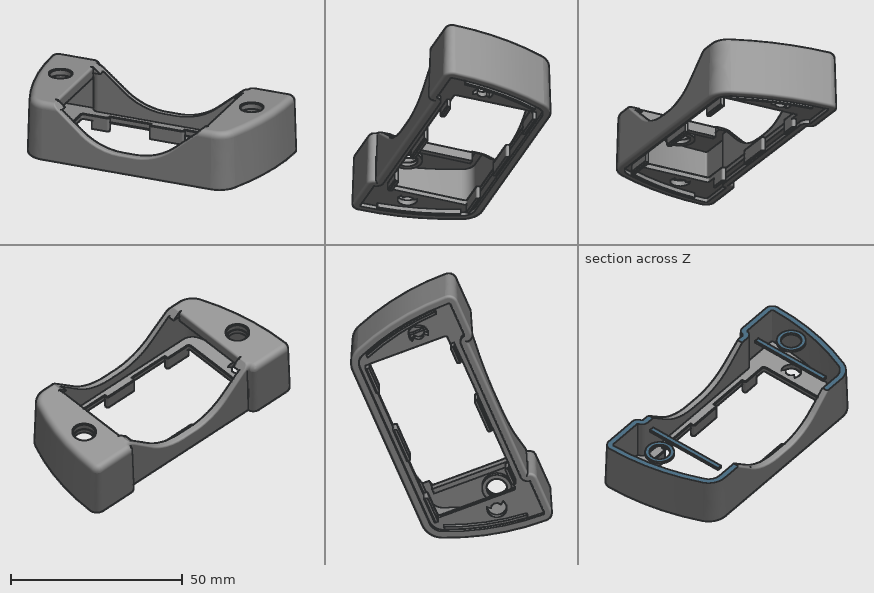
import cadquery as cq
import math

LENGTH = 78.0
DEPTH = 36.8
BODY_HEIGHT = 18.1
RIM_HEIGHT = 0.9
DRAFT_ANGLE = 1.7
END_RADIUS = 76.45
FRONT_CORNER_RADIUS = 6.55
REAR_CORNER_RADIUS = 2.8
GAP_CORNER_RADIUS = 2.35
REAR_STEP = 2.0
REAR_STEP_HALF = 22.85
TOP_FILLET = 1.95
BASE_FILLET = 0.8

WALL = 2.35
FLOOR_TOP = 3.0
FLOOR_THICKNESS = 1.7
PLATE_THICKNESS = 1.95

SADDLE_BOTTOM = 6.0
SADDLE_FLAT_HALF = 1.9
SADDLE_RADIUS = 19.9
SADDLE_ANGLE = 40.0
SADDLE_FILLET = 0.55

OPENING_CENTER_Y = -1.1
OPENING_HALF_X = 26.7
OPENING_HALF_Y = 12.2
OPENING_RADIUS = 0.6
OPENING_CHAMFER = 0.2
LIP_X = 23.4
LIP_HALF_Y = 12.8
LIP_HEIGHT = 3.35
LIP_THICKNESS = 1.55
LIP_FILLET = 0.8

TAB_THICKNESS = 1.2
TAB_DROP = 1.4
TAB_CHAMFER = 0.4
MIDDLE_TAB_HALF = 5.45
END_TAB_INNER = 18.25
REAR_TAB_OUTER = 23.9
FRONT_TAB_OUTER = OPENING_HALF_X

HOLE_X = 30.3
HOLE_Y = 3.7
PLATE_HOLE_RADIUS = 3.2
PLATE_HOLE_CHAMFER = 0.3
BOSS_RADIUS = 4.3
BOSS_BORE_RADIUS = 3.0
BOSS_HEIGHT = 1.3
FLOOR_HOLE_RADIUS = 2.9
FLAT_ANGLE = 61.0
KEY_RADIUS = 1.6
KEY_ANGLE = 69.0

RIB_INSET = 3.1
RIB_THICKNESS = 0.8
RIB_DROP = 0.2
RIB_REAR = 11.15
RIB_FRONT = -12.6

REAR = DEPTH / 2
FRONT = -DEPTH / 2
FLOOR_BOTTOM = FLOOR_TOP - FLOOR_THICKNESS
END_ARC_Y = REAR - REAR_CORNER_RADIUS
END_ARC_X = LENGTH / 2 - END_RADIUS


def box(x_range, y_range, z_range):
    """Box spanning the given ranges."""
    lows, highs = zip(x_range, y_range, z_range)
    sizes = [high - low for low, high in zip(lows, highs)]
    return cq.Workplane("XY").box(*sizes, centered=False).translate(lows)


def plan_solid(height):
    """Upright block with the plan outline of the rim."""

    def end_x(y):
        return END_ARC_X + math.sqrt(END_RADIUS**2 - (y - END_ARC_Y) ** 2)

    front_x = end_x(FRONT)
    middle_y = (END_ARC_Y + FRONT) / 2
    wall_y = REAR - REAR_STEP
    outer_x = LENGTH / 2 - REAR_CORNER_RADIUS
    inner_x = REAR_STEP_HALF + GAP_CORNER_RADIUS
    gap_arc_y = REAR - GAP_CORNER_RADIUS
    gap_x = inner_x - math.sqrt(GAP_CORNER_RADIUS**2 - (wall_y - gap_arc_y) ** 2)
    diagonal = math.sqrt(0.5)
    outer_slant = REAR_CORNER_RADIUS * diagonal
    inner_slant = GAP_CORNER_RADIUS * diagonal
    outer_y = END_ARC_Y + outer_slant
    inner_y = gap_arc_y + inner_slant
    outline = (
        cq.Workplane("XY")
        .moveTo(-front_x, FRONT)
        .lineTo(front_x, FRONT)
        .threePointArc((end_x(middle_y), middle_y), (LENGTH / 2, END_ARC_Y))
        .threePointArc((outer_x + outer_slant, outer_y), (outer_x, REAR))
        .lineTo(inner_x, REAR)
        .threePointArc((inner_x - inner_slant, inner_y), (gap_x, wall_y))
        .lineTo(-gap_x, wall_y)
        .threePointArc((inner_slant - inner_x, inner_y), (-inner_x, REAR))
        .lineTo(-outer_x, REAR)
        .threePointArc((-outer_x - outer_slant, outer_y), (-LENGTH / 2, END_ARC_Y))
        .threePointArc((-end_x(middle_y), middle_y), (-front_x, FRONT))
        .close()
    )
    return outline.extrude(height).edges("|Z and <Y").fillet(FRONT_CORNER_RADIUS)


def make_shell():
    """Drafted outer form with its rounded top and base edges."""
    rim = plan_solid(RIM_HEIGHT)
    drafted = rim.faces(">Z").wires().toPending().workplane()
    body = drafted.extrude(BODY_HEIGHT - RIM_HEIGHT, taper=DRAFT_ANGLE)
    body = body.faces("<Z").edges().fillet(BASE_FILLET)
    return body.faces(">Z").edges().fillet(TOP_FILLET)


def inner_block(z_low, z_high):
    """Block between two heights, one wall thickness inside the rim."""
    outline = plan_solid(RIM_HEIGHT).faces("<Z").wires().toPending().offset2D(-WALL)
    block = outline.extrude(z_high - z_low, combine=False)
    return block.translate((0, 0, z_low - block.val().BoundingBox().zmin))


def make_saddle():
    """Valley cut through both side walls: flat bottom, two arcs, straight flanks."""
    angle = math.radians(SADDLE_ANGLE)

    def arc_point(turn):
        x = SADDLE_FLAT_HALF + SADDLE_RADIUS * math.sin(turn)
        z = SADDLE_BOTTOM + SADDLE_RADIUS * (1 - math.cos(turn))
        return x, z

    middle_x, middle_z = arc_point(angle / 2)
    flank_x, flank_z = arc_point(angle)
    top_z = 2 * BODY_HEIGHT
    top_x = flank_x + (top_z - flank_z) / math.tan(angle)
    profile = (
        cq.Workplane("XZ")
        .moveTo(-SADDLE_FLAT_HALF, SADDLE_BOTTOM)
        .lineTo(SADDLE_FLAT_HALF, SADDLE_BOTTOM)
        .threePointArc((middle_x, middle_z), (flank_x, flank_z))
        .lineTo(top_x, top_z)
        .lineTo(-top_x, top_z)
        .lineTo(-flank_x, flank_z)
        .threePointArc((-middle_x, middle_z), (-SADDLE_FLAT_HALF, SADDLE_BOTTOM))
        .close()
    )
    return profile.extrude(DEPTH, both=True)


def y_band(half):
    """Y range centred on the opening."""
    return OPENING_CENTER_Y - half, OPENING_CENTER_Y + half


def floor_opening():
    """Opening through the floor, wider between the tabs, with rounded corners."""
    heights = (FLOOR_BOTTOM, FLOOR_TOP)
    opening = box((-OPENING_HALF_X, OPENING_HALF_X), y_band(OPENING_HALF_Y), heights)
    wide_band = y_band(OPENING_HALF_Y + TAB_THICKNESS)
    for gap in ((-END_TAB_INNER, -MIDDLE_TAB_HALF), (MIDDLE_TAB_HALF, END_TAB_INNER)):
        opening = opening.union(box(gap, wide_band, heights))
    near, far = y_band(OPENING_HALF_Y + TAB_THICKNESS / 2)
    corners = opening.edges("|Z").filter(lambda edge: near < edge.Center().y < far)
    return opening.newObject(corners.vals()).fillet(OPENING_RADIUS)


def soften_opening(body):
    """Chamfer along the upper edge of the floor opening."""
    reach_x = OPENING_HALF_X + OPENING_CHAMFER
    reach_y = OPENING_HALF_Y + TAB_THICKNESS + OPENING_CHAMFER
    low = (-reach_x, OPENING_CENTER_Y - reach_y, FLOOR_TOP - OPENING_CHAMFER)
    high = (reach_x, OPENING_CENTER_Y + reach_y, FLOOR_TOP + OPENING_CHAMFER)
    rim = cq.selectors.BoxSelector(low, high, boundingbox=True)
    return body.edges(rim).chamfer(OPENING_CHAMFER)


def plate_trim():
    """Space between the pods that clears the plate edges for their lips."""
    half = LIP_X + LIP_THICKNESS
    return box((-half, half), y_band(LIP_HALF_Y), (BODY_HEIGHT - LIP_HEIGHT, BODY_HEIGHT))


def plate_lip():
    """Left lip: hangs below the plate edge and is rounded at the top."""
    x_range = (-LIP_X - LIP_THICKNESS, -LIP_X)
    lip = box(x_range, y_band(LIP_HALF_Y), (BODY_HEIGHT - LIP_HEIGHT, BODY_HEIGHT))
    return lip.edges(">Z and >X").fillet(LIP_FILLET)


def make_tab(span, side):
    """Tab on the rear (side 1) or front (side -1) edge of the opening."""
    near = OPENING_CENTER_Y + side * OPENING_HALF_Y
    far = near + side * TAB_THICKNESS
    inner_edges, outer_edge = ("<Y", ">Y") if side > 0 else (">Y", "<Y")
    tab = box(span, sorted((near, far)), (-TAB_DROP, FLOOR_TOP))
    corners = tab.edges("|Z").edges(inner_edges)
    corners = corners.filter(lambda edge: abs(edge.Center().x) < OPENING_HALF_X - OPENING_RADIUS)
    tab = tab.newObject(corners.vals()).fillet(OPENING_RADIUS)
    return tab.faces("<Z").edges(outer_edge).chamfer(TAB_CHAMFER)


def add_tabs(body):
    """Three tabs along each long edge of the opening."""
    for side, outer in ((1, REAR_TAB_OUTER), (-1, FRONT_TAB_OUTER)):
        for span in (
            (-outer, -END_TAB_INNER),
            (-MIDDLE_TAB_HALF, MIDDLE_TAB_HALF),
            (END_TAB_INNER, outer),
        ):
            body = body.union(make_tab(span, side))
    return body


def polar(radius, degrees):
    """Point at a distance and direction from the origin."""
    turn = math.radians(degrees)
    return radius * math.cos(turn), radius * math.sin(turn)


def floor_hole():
    """Left keyhole: a round hole flattened towards the middle, with a small round bulge."""
    upper = polar(FLOOR_HOLE_RADIUS, FLAT_ANGLE)
    key_upper = polar(KEY_RADIUS, KEY_ANGLE)
    profile = (
        cq.Workplane("XY")
        .moveTo(*upper)
        .threePointArc((-FLOOR_HOLE_RADIUS, 0), (upper[0], -upper[1]))
        .lineTo(key_upper[0], -key_upper[1])
        .threePointArc((KEY_RADIUS, 0), key_upper)
        .close()
    )
    return profile.extrude(FLOOR_THICKNESS).translate((-HOLE_X, HOLE_Y, FLOOR_BOTTOM))


def plate_hole():
    """Left round hole through the top plate, with a chamfered mouth."""
    base = BODY_HEIGHT - PLATE_THICKNESS
    hole = cq.Workplane("XY").circle(PLATE_HOLE_RADIUS).extrude(PLATE_THICKNESS)
    mouth = (
        cq.Workplane("XY")
        .workplane(offset=PLATE_THICKNESS - PLATE_HOLE_CHAMFER)
        .circle(PLATE_HOLE_RADIUS)
        .workplane(offset=PLATE_HOLE_CHAMFER)
        .circle(PLATE_HOLE_RADIUS + PLATE_HOLE_CHAMFER)
        .loft()
    )
    return hole.union(mouth).translate((-HOLE_X, HOLE_Y, base))


def hole_boss():
    """Left ring below the top plate, with a bore slightly tighter than the plate hole."""
    ring = cq.Workplane("XY").circle(BOSS_RADIUS).circle(BOSS_BORE_RADIUS).extrude(BOSS_HEIGHT)
    return ring.translate((-HOLE_X, HOLE_Y, BODY_HEIGHT - PLATE_THICKNESS - BOSS_HEIGHT))


def end_rib():
    """Left rib: a curved strip under the floor, parallel to the pod end."""
    outer_radius = END_RADIUS - RIB_INSET
    strip = (
        cq.Workplane("XY", origin=(-END_ARC_X, END_ARC_Y, -RIB_DROP))
        .circle(outer_radius)
        .circle(outer_radius - RIB_THICKNESS)
        .extrude(FLOOR_BOTTOM + RIB_DROP)
    )
    return strip.intersect(box((-LENGTH / 2, 0), (RIB_FRONT, RIB_REAR), (-RIB_DROP, FLOOR_BOTTOM)))


def with_mirror(left):
    """A feature of the left pod together with its twin on the right."""
    return left.union(left.mirror("YZ"))


body = make_shell().cut(make_saddle())
body = body.edges("|Y").edges(">Z").fillet(SADDLE_FILLET)
body = body.cut(inner_block(FLOOR_TOP, BODY_HEIGHT - PLATE_THICKNESS))
body = body.cut(inner_block(0, FLOOR_BOTTOM))
body = body.cut(floor_opening())
body = add_tabs(body)
body = soften_opening(body)
body = body.cut(plate_trim())
body = body.union(with_mirror(plate_lip()))
body = body.union(with_mirror(end_rib()))
body = body.cut(with_mirror(floor_hole()))
body = body.cut(with_mirror(plate_hole()))
result = body.union(with_mirror(hole_boss())).solids()